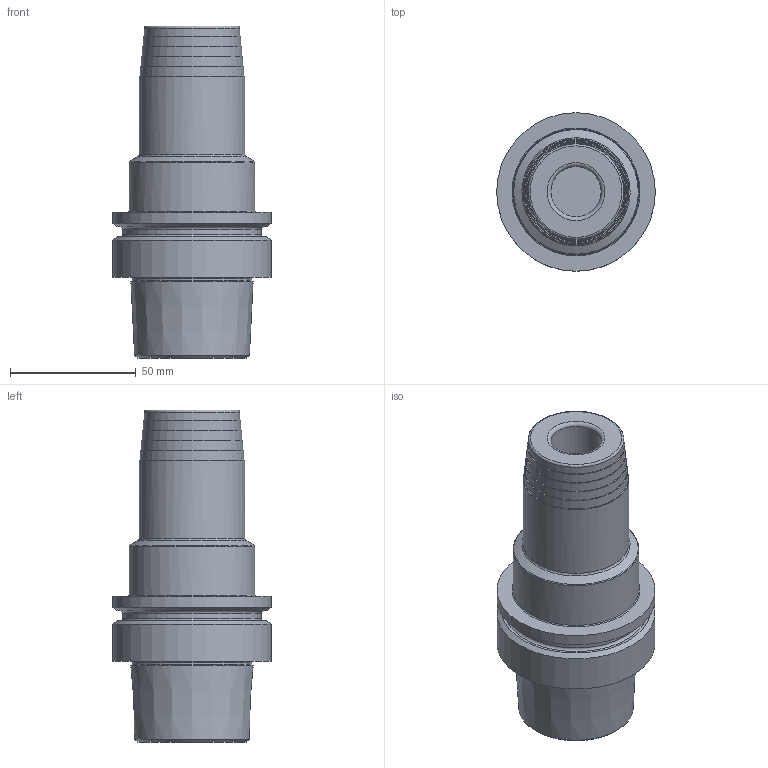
import cadquery as cq
import math

OVERALL_LENGTH = 131.9
SHANK_LENGTH = 32.0
TOP_Z = OVERALL_LENGTH - SHANK_LENGTH

SHANK_GAUGE_DIAMETER = 48.1
SHANK_GAUGE_DEPTH = 6.3
TAPER_ON_RADIUS = 1 / 20
SHANK_END_CHAMFER = 1.0
RELIEF_WIDTH = 1.8
RELIEF_DEPTH = 0.5
RELIEF_SLOPE_WIDTH = 0.6
RELIEF_FILLET = 0.3

FLANGE_DIAMETER = 63.0
FLANGE_WIDTH = 26.0
GROOVE_CENTER_Z = 18.13
GROOVE_FLOOR_DIAMETER = 55.0
GROOVE_FLOOR_WIDTH = 4.0
GROOVE_FLOOR_FILLET = 1.0
GROOVE_LEDGE_DIAMETER = 59.0
GROOVE_MOUTH_WIDTH = 6.8

COLLAR_DIAMETER = 50.0
COLLAR_BASE_FILLET = 0.4
COLLAR_EDGE_FILLET = 0.5
COLLAR_SHOULDER_Z = 46.0
SHOULDER_ANGLE = 30.0
NECK_DIAMETER = 42.0
NECK_BASE_FILLET = 1.0

STEP_COUNT = 5
STEP_HEIGHT = 4.0
STEP_INSET = 0.4
NOSE_FILLET = 0.8

BORE_DIAMETER = 20.0
BORE_DEPTH = 52.0
BORE_MOUTH_FILLET = 1.5

EDGE_SEARCH_TOLERANCE = 0.01


def revolve_outline(points):
    """Turn a closed (radius, height) outline about the Z axis."""
    return cq.Workplane("XZ").polyline(points).close().revolve(360, (0, 0), (0, 1))


def round_edge(body, radius, z, fillet):
    """Fillet the circular edge of the given radius at height z."""
    reach = radius + EDGE_SEARCH_TOLERANCE
    low = (-reach, -reach, z - EDGE_SEARCH_TOLERANCE)
    high = (reach, reach, z + EDGE_SEARCH_TOLERANCE)
    level_box = cq.selectors.BoxSelector(low, high, boundingbox=True)
    level_edges = body.edges("%CIRCLE").edges(level_box).vals()
    matching = [edge for edge in level_edges if abs(edge.radius() - radius) < EDGE_SEARCH_TOLERANCE]
    return body.newObject(matching).fillet(fillet)


def shank_radius(z):
    return SHANK_GAUGE_DIAMETER / 2 + (z + SHANK_GAUGE_DEPTH) * TAPER_ON_RADIUS


RELIEF_RADIUS = shank_radius(-RELIEF_WIDTH) - RELIEF_DEPTH
NOSE_RADIUS = NECK_DIAMETER / 2 - STEP_COUNT * STEP_INSET
SHOULDER_HEIGHT = (COLLAR_DIAMETER - NECK_DIAMETER) / 2 * math.tan(math.radians(SHOULDER_ANGLE))
NECK_BASE_Z = COLLAR_SHOULDER_Z + SHOULDER_HEIGHT
GROOVE_FLOOR_BOTTOM_Z = GROOVE_CENTER_Z - GROOVE_FLOOR_WIDTH / 2
GROOVE_FLOOR_TOP_Z = GROOVE_CENTER_Z + GROOVE_FLOOR_WIDTH / 2


def shank_points():
    """Taper from its chamfered small end up to the relief under the flange."""
    taper_start_z = -SHANK_LENGTH + SHANK_END_CHAMFER
    taper_start_radius = shank_radius(taper_start_z)
    return [
        (taper_start_radius - SHANK_END_CHAMFER, -SHANK_LENGTH),
        (taper_start_radius, taper_start_z),
        (shank_radius(-RELIEF_WIDTH), -RELIEF_WIDTH),
        (RELIEF_RADIUS, -RELIEF_WIDTH + RELIEF_SLOPE_WIDTH),
        (RELIEF_RADIUS, 0),
    ]


def flange_points():
    """Flange rim, interrupted by a groove with sloping flanks and flat ledges."""
    rim = FLANGE_DIAMETER / 2
    floor = GROOVE_FLOOR_DIAMETER / 2
    ledge = GROOVE_LEDGE_DIAMETER / 2
    return [
        (rim, 0),
        (rim, GROOVE_CENTER_Z - GROOVE_MOUTH_WIDTH / 2),
        (ledge, GROOVE_FLOOR_BOTTOM_Z),
        (floor, GROOVE_FLOOR_BOTTOM_Z),
        (floor, GROOVE_FLOOR_TOP_Z),
        (ledge, GROOVE_FLOOR_TOP_Z),
        (rim, GROOVE_CENTER_Z + GROOVE_MOUTH_WIDTH / 2),
        (rim, FLANGE_WIDTH),
    ]


def collar_points():
    """Cylindrical collar with a conical shoulder meeting the neck."""
    return [
        (COLLAR_DIAMETER / 2, FLANGE_WIDTH),
        (COLLAR_DIAMETER / 2, COLLAR_SHOULDER_Z),
        (NECK_DIAMETER / 2, NECK_BASE_Z),
    ]


def nose_points():
    """Equal steps narrowing from the neck to the tip."""
    points = []
    radius = NECK_DIAMETER / 2
    for step in range(STEP_COUNT):
        ledge_z = TOP_Z - (STEP_COUNT - step) * STEP_HEIGHT
        points.append((radius, ledge_z))
        radius -= STEP_INSET
        points.append((radius, ledge_z))
    points.append((radius, TOP_Z))
    return points


def make_body():
    outline = [(0, -SHANK_LENGTH)]
    outline += shank_points()
    outline += flange_points()
    outline += collar_points()
    outline += nose_points()
    outline.append((0, TOP_Z))
    return revolve_outline(outline)


def cut_bore(body):
    """Blind flat-bottomed bore from the tip."""
    bore_floor = cq.Workplane("XY", origin=(0, 0, TOP_Z - BORE_DEPTH))
    bore = bore_floor.circle(BORE_DIAMETER / 2).extrude(BORE_DEPTH)
    return body.cut(bore)


def round_edges(body):
    """Round the corners from the shank relief up to the bore mouth."""
    body = round_edge(body, RELIEF_RADIUS, 0, RELIEF_FILLET)
    body = round_edge(body, GROOVE_FLOOR_DIAMETER / 2, GROOVE_FLOOR_BOTTOM_Z, GROOVE_FLOOR_FILLET)
    body = round_edge(body, GROOVE_FLOOR_DIAMETER / 2, GROOVE_FLOOR_TOP_Z, GROOVE_FLOOR_FILLET)
    body = round_edge(body, COLLAR_DIAMETER / 2, FLANGE_WIDTH, COLLAR_BASE_FILLET)
    body = round_edge(body, COLLAR_DIAMETER / 2, COLLAR_SHOULDER_Z, COLLAR_EDGE_FILLET)
    body = round_edge(body, NECK_DIAMETER / 2, NECK_BASE_Z, NECK_BASE_FILLET)
    body = round_edge(body, NOSE_RADIUS, TOP_Z, NOSE_FILLET)
    return round_edge(body, BORE_DIAMETER / 2, TOP_Z, BORE_MOUTH_FILLET)


result = round_edges(cut_bore(make_body()))